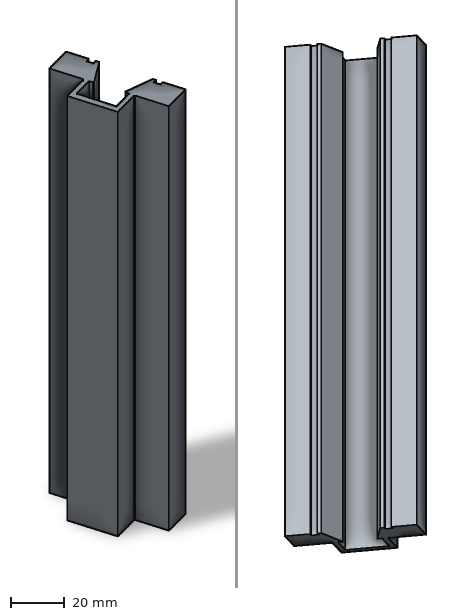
import cadquery as cq

length = 190.5
width = 50.9
depth = 25.3

channel_width = 21.5
wall = 2.3
floor = 3.0

flange_depth = 12.8
mouth_width = 22.9
throat_width = 13.1
lip_chamfer = 0.4
corner_bevel = 0.4

groove_width = 2.9
groove_depth = 1.7
groove_center = 14.3

rear = depth / 2
front = -depth / 2
flange_front = rear - flange_depth
channel_inner_width = channel_width - 2 * wall


def extrude_half(points):
    """Extrude a half profile on the +X side over the full length."""
    return (
        cq.Workplane("XY")
        .polyline(points)
        .close()
        .extrude(length / 2, both=True)
    )


def make_half():
    """Build one flange, channel wall and half of the channel floor."""
    groove_inner = groove_center - groove_width / 2
    groove_outer = groove_center + groove_width / 2
    groove_bottom = rear - groove_depth
    return extrude_half([
        (0, front),
        (channel_width / 2, front),
        (channel_width / 2, flange_front - corner_bevel),
        (channel_width / 2 + corner_bevel, flange_front),
        (width / 2, flange_front),
        (width / 2, rear),
        (groove_outer, rear),
        (groove_outer, groove_bottom),
        (groove_inner, groove_bottom),
        (groove_inner, rear),
        (mouth_width / 2, rear),
        (throat_width / 2, flange_front + lip_chamfer),
        (throat_width / 2 + lip_chamfer, flange_front),
        (channel_inner_width / 2, flange_front),
        (channel_inner_width / 2, front + floor),
        (0, front + floor),
    ])


half = make_half()
result = half.union(half.mirror("YZ")).clean()